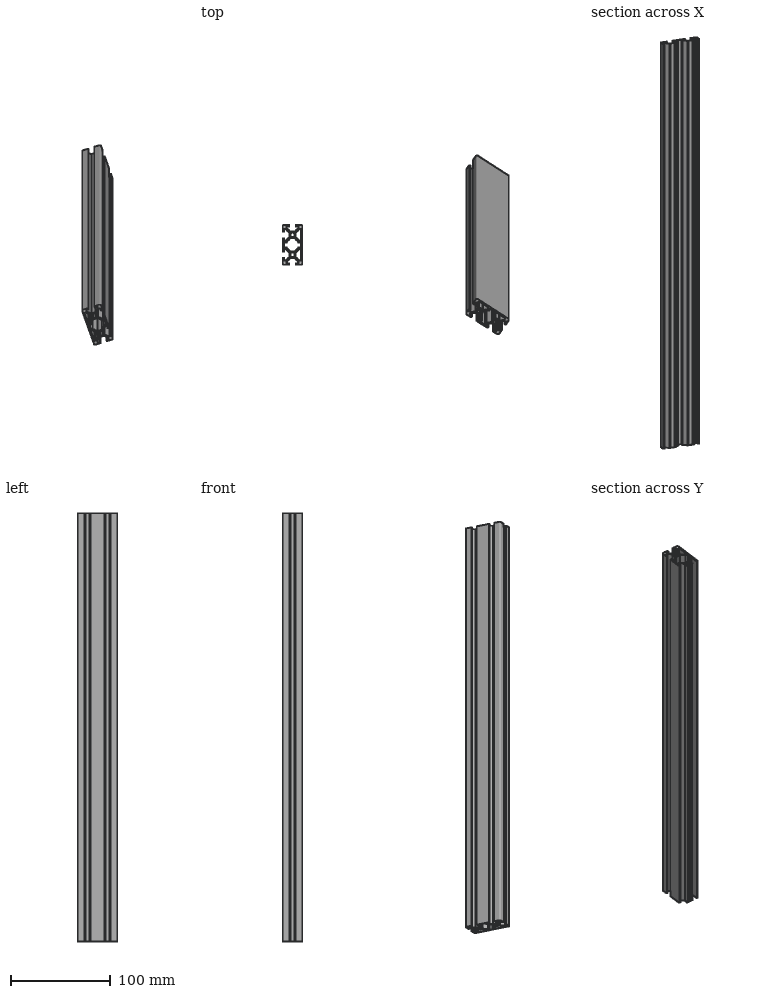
import cadquery as cq

module = 20.0
width = module
depth = 2 * module
length = 430.0
corner_radius = 1.5

wall = 1.5
slot_opening = 6.2
lip_tip_width = 0.6
lip_tip_thickness = 1.8
slot_inner_width = 11.8
core_size = 7.0
slot_floor_width = 4.6
bore_diameter = 4.3
groove_span = 6.6
groove_width = 1.2
recess_width = 4.4

half_module = module / 2
half_core = core_size / 2
half_inner = slot_inner_width / 2
half_floor = slot_floor_width / 2
flank_end = half_core + half_inner - half_floor
core_centers = (half_module, -half_module)


def extrude_outline(points):
    return cq.Workplane("XY").polyline(points).close().extrude(length)


def turn_and_place(shape, angle, center_y):
    """Turn a shape about the Z axis, then move it to a core center."""
    return shape.rotate((0, 0, 0), (0, 0, 1), angle).translate((0, center_y, 0))


def chamber_shape():
    """Wide inner part of a slot, facing +X from a core center at the origin."""
    wall_inside = half_module - wall
    return extrude_outline([
        (half_core, -half_floor),
        (flank_end, -half_inner),
        (wall_inside, -half_inner),
        (wall_inside, half_inner),
        (flank_end, half_inner),
        (half_core, half_floor),
    ])


def open_slot_shape():
    """Slot chamber with thickened lip tips and an opening through the wall."""
    lips = (
        cq.Workplane("XY")
        .center(half_module - lip_tip_thickness / 2, 0)
        .rect(lip_tip_thickness, slot_opening + 2 * lip_tip_width)
        .extrude(length)
    )
    opening = (
        cq.Workplane("XY")
        .center(half_module - lip_tip_thickness / 2, 0)
        .rect(2 * lip_tip_thickness, slot_opening)
        .extrude(length)
    )
    return chamber_shape().cut(lips).union(opening)


def bore_shape():
    """Round bore widened by four diagonal grooves."""
    bore = cq.Workplane("XY").circle(bore_diameter / 2).extrude(length)
    for angle in (45, 135):
        groove = cq.Workplane("XY").rect(groove_span, groove_width).extrude(length)
        bore = bore.union(turn_and_place(groove, angle, 0))
    return bore


def central_cavity():
    """Octagonal hollow between the cores, widened by a recess in each side wall."""
    top = half_module - half_core
    flank_bottom = half_module - flank_end
    octagon = extrude_outline([
        (-half_floor, top),
        (half_floor, top),
        (half_inner, flank_bottom),
        (half_inner, -flank_bottom),
        (half_floor, -top),
        (-half_floor, -top),
        (-half_inner, -flank_bottom),
        (-half_inner, flank_bottom),
    ])
    recesses = cq.Workplane("XY").rect(width - 2 * wall, recess_width).extrude(length)
    return octagon.union(recesses)


result = cq.Workplane("XY").rect(width, depth).extrude(length).edges("|Z").fillet(corner_radius)

result = result.cut(turn_and_place(open_slot_shape(), 90, half_module))
result = result.cut(turn_and_place(open_slot_shape(), -90, -half_module))

for core_y in core_centers:
    result = result.cut(turn_and_place(open_slot_shape(), 180, core_y))
    result = result.cut(turn_and_place(chamber_shape(), 0, core_y))
    result = result.cut(turn_and_place(bore_shape(), 0, core_y))

result = result.cut(central_cavity())